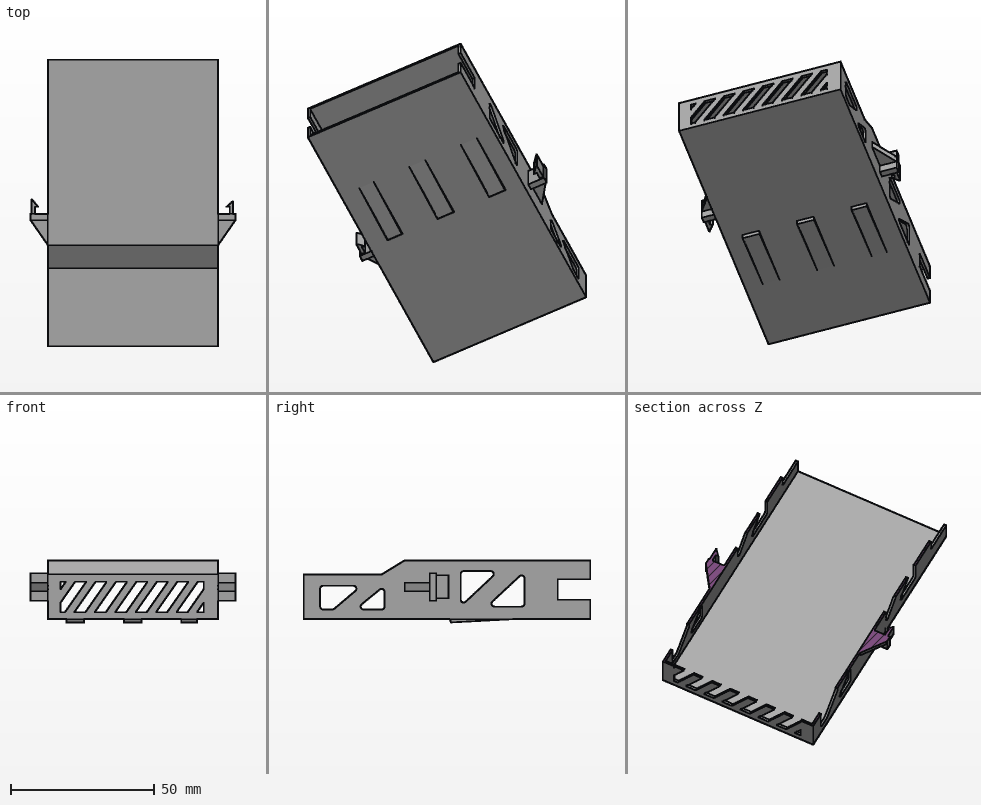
import cadquery as cq
import math

body_width = 59.3
body_length = 100.0
body_height = 20.5
nose_height = 15.6
nose_length = 27.2
ramp_end = 35.2
wall = 0.9

notch_depth = 11.3
notch_bottom = 6.8
notch_top = 13.9

window_corner_radius = 1.0
rear_low_window = [(77.0, 4.4), (64.0, 4.4), (77.0, 16.5)]
rear_high_window = [(54.8, 16.7), (67.8, 16.7), (54.8, 4.5)]
front_low_window = [(28.2, 3.4), (18.1, 3.4), (28.2, 11.6)]
front_high_window = [(5.8, 11.6), (20.1, 11.6), (10.4, 3.4), (5.8, 3.4)]

grille_width = 49.9
grille_center_x = -0.3
grille_bottom = 2.4
grille_top = 13.0
grille_slot_count = 9
grille_pitches_across = 7
grille_pitch = grille_width / grille_pitches_across
grille_slot_width = 3.8
grille_lean = 7.4
first_slot_x = -27.3

width_over_clips = 71.5
clip_reach = (width_over_clips - body_width) / 2
flange_front = 44.0
flange_back = 46.2
flange_bottom = 6.4
flange_top = 16.0
gusset_bottom = 9.8
gusset_top = 12.6
hook_bottom = 7.2
hook_top = 15.3
hook_thickness = 1.3
barb_y = 48.6
barb_reach = 1.1
hook_tip_chamfer = 0.2
left_hook_inset = 0.3
left_hook_tip_y = 51.3
right_hook_inset = 0.8
right_hook_tip_y = 50.6

tab_drop = 1.2
tab_start_y = 73.9
tab_crest_y = 51.4
tab_end_y = 50.9
tab_left_edges = [-23.2, -3.2, 16.8]
tab_widths = [6.2, 6.2, 5.6]


def prism_along_x(outline, x_start, x_length):
    """Extrude a (Y, Z) outline in +X from x_start."""
    return cq.Workplane("YZ").workplane(offset=x_start).polyline(outline).close().extrude(x_length)


def prism_along_z(outline, z_bottom, z_top):
    """Extrude an (X, Y) outline between two heights."""
    return cq.Workplane("XY").workplane(offset=z_bottom).polyline(outline).close().extrude(z_top - z_bottom)


def box_between(x_range, y_range, z_range):
    """Box spanning the given (low, high) range on each axis."""
    corner = (x_range[0], y_range[0], z_range[0])
    sizes = [high - low for low, high in (x_range, y_range, z_range)]
    return cq.Workplane("XY").box(*sizes, centered=False).translate(corner)


def make_shell():
    """Stepped box with an open back."""
    half_width = body_width / 2
    outer_outline = [
        (0, 0),
        (body_length, 0),
        (body_length, body_height),
        (ramp_end, body_height),
        (nose_length, nose_height),
        (0, nose_height),
    ]
    ramp_angle = math.atan2(body_height - nose_height, ramp_end - nose_length)
    bend_shift = wall * math.tan(ramp_angle / 2)
    inner_outline = [
        (wall, wall),
        (body_length, wall),
        (body_length, body_height - wall),
        (ramp_end + bend_shift, body_height - wall),
        (nose_length + bend_shift, nose_height - wall),
        (wall, nose_height - wall),
    ]
    outer = prism_along_x(outer_outline, -half_width, body_width)
    inner = prism_along_x(inner_outline, -half_width + wall, body_width - 2 * wall)
    return outer.cut(inner)


def make_notch():
    """Full-width block that opens both side walls at the back."""
    y_range = (body_length - notch_depth, body_length)
    return box_between((-body_width / 2, body_width / 2), y_range, (notch_bottom, notch_top))


def make_window(outline):
    """Rounded cutter through both side walls."""
    return prism_along_x(outline, -body_width / 2, body_width).edges("|X").fillet(window_corner_radius)


def make_grille():
    """Slanted slots trimmed to a rectangular field."""
    left = grille_center_x - grille_width / 2
    field = box_between((left, left + grille_width), (0, wall), (grille_bottom, grille_top))
    slots = cq.Workplane("XZ")
    for index in range(grille_slot_count):
        x = first_slot_x - grille_lean + index * grille_pitch
        slot_outline = [
            (x, grille_bottom),
            (x + grille_slot_width, grille_bottom),
            (x + grille_slot_width + grille_lean, grille_top),
            (x + grille_lean, grille_top),
        ]
        slots = slots.polyline(slot_outline).close()
    return field.intersect(slots.extrude(-wall))


def make_clip(side, hook_inset, hook_tip_y):
    """Flange, gusset and barbed hook; side is -1 for the left wall and 1 for the right."""
    wall_x = side * body_width / 2
    outer_x = wall_x + side * clip_reach
    hook_outer_x = outer_x - side * hook_inset
    hook_inner_x = hook_outer_x - side * hook_thickness
    flange = box_between(sorted((wall_x, outer_x)), (flange_front, flange_back), (flange_bottom, flange_top))
    gusset_outline = [(wall_x, ramp_end), (outer_x, flange_front), (wall_x, flange_front)]
    hook_outline = [
        (hook_outer_x, flange_back),
        (hook_outer_x, hook_tip_y - hook_tip_chamfer),
        (hook_outer_x - side * hook_tip_chamfer, hook_tip_y),
        (hook_inner_x - side * barb_reach, barb_y),
        (hook_inner_x, barb_y),
        (hook_inner_x, flange_back),
    ]
    gusset = prism_along_z(gusset_outline, gusset_bottom, gusset_top)
    hook = prism_along_z(hook_outline, hook_bottom, hook_top)
    return flange.union(gusset).union(hook)


def make_tab(left_edge, width):
    """Wedge that drops gently from the back to its crest and rises steeply to the floor."""
    outline = [(tab_end_y, 0), (tab_crest_y, -tab_drop), (tab_start_y, 0)]
    return prism_along_x(outline, left_edge, width)


result = make_shell().cut(make_notch()).cut(make_grille())
for window in (rear_low_window, rear_high_window, front_low_window, front_high_window):
    result = result.cut(make_window(window))
result = result.union(make_clip(-1, left_hook_inset, left_hook_tip_y))
result = result.union(make_clip(1, right_hook_inset, right_hook_tip_y))
for tab_left_edge, tab_width in zip(tab_left_edges, tab_widths):
    result = result.union(make_tab(tab_left_edge, tab_width))